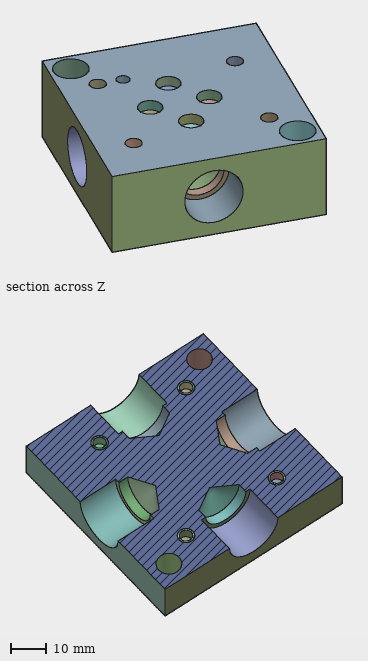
import cadquery as cq
import math

BLOCK_SIDE = 63.5
BLOCK_HEIGHT = 25.4
DRILL_POINT_ANGLE = 118.0
DOWN = (0, 0, -1)

VALVE_X = 32.5
VALVE_Y = 30.15

PASSAGE_DIAMETER = 7.1
PASSAGE_DEPTH = 3.2
PASSAGE_SPAN_X = 20.7
PASSAGE_SPAN_Y = 17.5

BOLT_THREAD_DIAMETER = 4.8
BOLT_DRILL_DIAMETER = 3.8
BOLT_THREAD_DEPTH = 12.7
BOLT_DRILL_DEPTH = 15.9
FRONT_BOLT_Y = 11.2
BOLT_SPAN_Y = 40.45
FRONT_BOLT_SPAN = 32.5
REAR_BOLT_SPAN = 31.0

PIN_DIAMETER = 3.95
PIN_DEPTH = 4.0
PIN_TO_BOLT = 7.5

MOUNT_DIAMETER = 7.1
MOUNT_HEAD_DIAMETER = 10.3
MOUNT_HEAD_DEPTH = 7.6
MOUNT_INSET = 6.4

PORT_THREAD_DIAMETER = 17.3
PORT_DRILL_DIAMETER = 14.3
PORT_THREAD_DEPTH = 12.7
PORT_DRILL_DEPTH = 15.9
PORT_X = BLOCK_SIDE / 2
PORT_Z = BLOCK_HEIGHT / 2


def cylinder(mouth, direction, diameter, depth):
    """Flat-ended bore that starts at mouth and runs along direction."""
    return cq.Solid.makeCylinder(diameter / 2, depth, cq.Vector(*mouth), cq.Vector(*direction))


def drilled_hole(mouth, direction, diameter, depth):
    """Bore with a conical drill point beyond its full-diameter depth."""
    start = cq.Vector(*mouth)
    axis = cq.Vector(*direction)
    radius = diameter / 2
    point_length = radius / math.tan(math.radians(DRILL_POINT_ANGLE / 2))
    point = cq.Solid.makeCone(radius, 0, point_length, start + axis * depth, axis)
    return cylinder(mouth, direction, diameter, depth).fuse(point)


def threaded_hole(mouth, direction, thread_diameter, thread_depth, drill_diameter, drill_depth):
    """Thread-diameter bore over a deeper, narrower tap drill."""
    drill = drilled_hole(mouth, direction, drill_diameter, drill_depth)
    return drill.fuse(cylinder(mouth, direction, thread_diameter, thread_depth))


def valve_passages():
    half_x = PASSAGE_SPAN_X / 2
    half_y = PASSAGE_SPAN_Y / 2
    offsets = [(-half_x, 0), (half_x, 0), (0, -half_y), (0, half_y)]
    return [
        drilled_hole((VALVE_X + dx, VALVE_Y + dy, BLOCK_HEIGHT), DOWN, PASSAGE_DIAMETER, PASSAGE_DEPTH)
        for dx, dy in offsets
    ]


def valve_bolt_holes():
    rows = [(FRONT_BOLT_Y, FRONT_BOLT_SPAN), (FRONT_BOLT_Y + BOLT_SPAN_Y, REAR_BOLT_SPAN)]
    holes = []
    for y, span in rows:
        for side in (-1, 1):
            mouth = (VALVE_X + side * span / 2, y, BLOCK_HEIGHT)
            holes.append(
                threaded_hole(
                    mouth,
                    DOWN,
                    BOLT_THREAD_DIAMETER,
                    BOLT_THREAD_DEPTH,
                    BOLT_DRILL_DIAMETER,
                    BOLT_DRILL_DEPTH,
                )
            )
    return holes


def locating_pin_hole():
    mouth = (VALVE_X - FRONT_BOLT_SPAN / 2, FRONT_BOLT_Y + PIN_TO_BOLT, BLOCK_HEIGHT)
    return drilled_hole(mouth, DOWN, PIN_DIAMETER, PIN_DEPTH)


def mounting_holes():
    holes = []
    for position in (MOUNT_INSET, BLOCK_SIDE - MOUNT_INSET):
        mouth = (position, position, BLOCK_HEIGHT)
        shank = cylinder(mouth, DOWN, MOUNT_DIAMETER, BLOCK_HEIGHT)
        holes.append(shank.fuse(cylinder(mouth, DOWN, MOUNT_HEAD_DIAMETER, MOUNT_HEAD_DEPTH)))
    return holes


def side_ports():
    ports = [
        ((PORT_X, 0, PORT_Z), (0, 1, 0)),
        ((PORT_X, BLOCK_SIDE, PORT_Z), (0, -1, 0)),
        ((0, VALVE_Y, PORT_Z), (1, 0, 0)),
        ((BLOCK_SIDE, VALVE_Y, PORT_Z), (-1, 0, 0)),
    ]
    return [
        threaded_hole(
            mouth, inward, PORT_THREAD_DIAMETER, PORT_THREAD_DEPTH, PORT_DRILL_DIAMETER, PORT_DRILL_DEPTH
        )
        for mouth, inward in ports
    ]


result = cq.Workplane("XY").box(BLOCK_SIDE, BLOCK_SIDE, BLOCK_HEIGHT, centered=False)
cutters = valve_passages() + valve_bolt_holes() + [locating_pin_hole()] + mounting_holes() + side_ports()
for cutter in cutters:
    result = result.cut(cq.Workplane(obj=cutter))